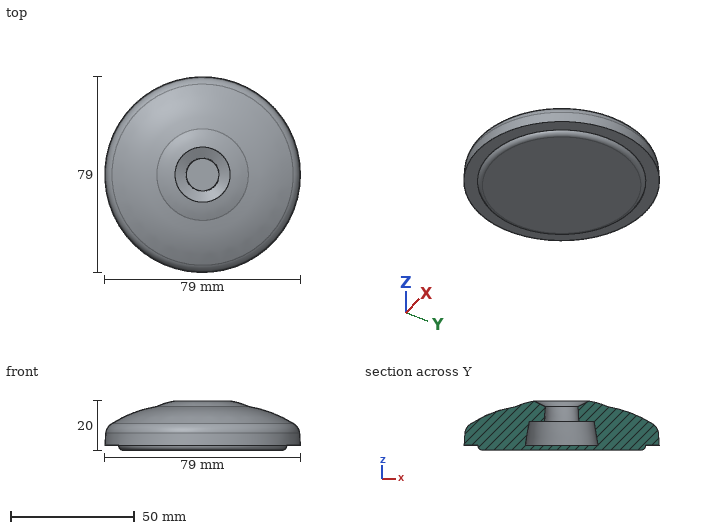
import cadquery as cq

PAD_RADIUS = 34.0
PAD_HEIGHT = 2.05
PAD_EDGE_RADIUS = 2.0

BRIM_RADIUS = 39.5
BRIM_TOP_RADIUS = 39.2
BRIM_TOP_Z = 7.0
DOME_OUTER_RADIUS = 36.6
DOME_OUTER_Z = 10.9
CROWN_OUTER_RADIUS = 18.5
CROWN_OUTER_Z = 17.8
TOTAL_HEIGHT = 20.0

SHOULDER_BULGE = 0.55
DOME_BULGE = 0.95
CROWN_BULGE = 0.28

SINK_RADIUS = 11.1
SINK_DEPTH = 2.3
BORE_TOP_RADIUS = 6.55
BORE_BOTTOM_RADIUS = 6.9
BORE_LENGTH = 6.1
CHAMBER_TOP_RADIUS = 13.0
CHAMBER_BOTTOM_RADIUS = 14.6
CHAMBER_FLOOR_Z = PAD_HEIGHT

sink_bottom_z = TOTAL_HEIGHT - SINK_DEPTH
bore_bottom_z = sink_bottom_z - BORE_LENGTH


def revolve_about_z(profile):
    """Revolve a closed (radius, z) profile a full turn about the Z axis."""
    return profile.close().revolve(360, (0, 0, 0), (0, 1, 0))


def make_body():
    """Solid domed disc with the rounded pad below its brim."""
    profile = (
        cq.Workplane("XZ")
        .lineTo(PAD_RADIUS - PAD_EDGE_RADIUS, 0)
        .radiusArc((PAD_RADIUS, PAD_EDGE_RADIUS), -PAD_EDGE_RADIUS)
        .lineTo(PAD_RADIUS, PAD_HEIGHT)
        .lineTo(BRIM_RADIUS, PAD_HEIGHT)
        .lineTo(BRIM_TOP_RADIUS, BRIM_TOP_Z)
        .sagittaArc((DOME_OUTER_RADIUS, DOME_OUTER_Z), -SHOULDER_BULGE)
        .sagittaArc((CROWN_OUTER_RADIUS, CROWN_OUTER_Z), -DOME_BULGE)
        .sagittaArc((SINK_RADIUS, TOTAL_HEIGHT), -CROWN_BULGE)
        .lineTo(0, TOTAL_HEIGHT)
    )
    return revolve_about_z(profile)


def make_bore():
    """Countersink, drafted bore and inner chamber as one cutting tool."""
    profile = (
        cq.Workplane("XZ")
        .moveTo(0, CHAMBER_FLOOR_Z)
        .lineTo(CHAMBER_BOTTOM_RADIUS, CHAMBER_FLOOR_Z)
        .lineTo(CHAMBER_TOP_RADIUS, bore_bottom_z)
        .lineTo(BORE_BOTTOM_RADIUS, bore_bottom_z)
        .lineTo(BORE_TOP_RADIUS, sink_bottom_z)
        .lineTo(SINK_RADIUS, TOTAL_HEIGHT)
        .lineTo(0, TOTAL_HEIGHT)
    )
    return revolve_about_z(profile)


result = make_body().cut(make_bore())